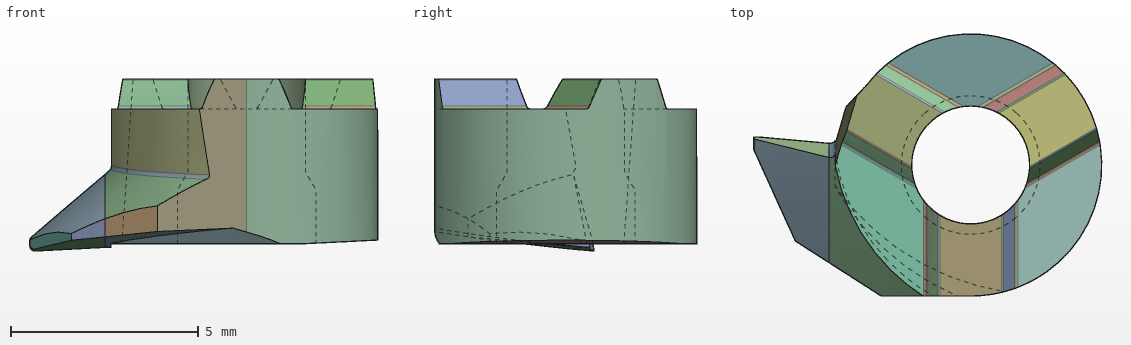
import cadquery as cq
import math


body_radius = 3.5
body_height = 4.4
drive_height = 0.8
floor_level = body_height - drive_height
blank_bottom = -0.5

bore_radius = 1.57
counterbore_radius = 1.85
seat_top = 1.92
seat_half_angle = 30.0
seat_blend = 0.15

rib_angles = (-90, 30, 150)
rib_top_half_width = 0.86
rib_foot_half_width = 1.17
rib_flank_bulge = 0.03
rib_top_blend = 0.06
rib_foot_blend_width = 0.09
rib_foot_blend_height = 0.08
rib_foot_blend_sag = 0.33

nose_x = -5.79
nose_flat_end_y = 0.41
heel = (-4.68, -2.03)
arm_corner = (-2.385, -body_radius)
rear_corner_x = -3.33
rear_corner_y = 1.55
rear_tangent_angle = math.radians(142.3)

joint_x = -3.78

gash_corner = (-3.62, 0.55)
rake_slope = -0.08
gash_wall_slope = 0.29
gash_lean = (-0.0093, -0.194, 1.0)
gash_blend = 0.2

relief_center = (1.57, 1.07, 2.0)
relief_tilt = 3.8
relief_wall_radius = 5.237
relief_wall_draft = 1.3
relief_step_level = 0.075
relief_cone_angle = 41.7
relief_blend = 0.15

tip_underside = (0.125, 0.045, -0.089)
far_clearance = (-0.077, 0.05, 0.0)

clearance_center = (1.96, 3.35)
clearance_radius = 6.81

body_underside_start_x = -3.62

nose_radius = 0.15
nose_top_radius = 0.1
nose_lower_z = -0.2
nose_upper_z = 0.1

reach = 20.0


def below_plane(level, slope_x, slope_y):
    """Everything under the plane z = level + slope_x * x + slope_y * y."""
    normal = (slope_x, slope_y, -1.0)
    plane = cq.Plane(origin=(0, 0, level), xDir=(1, 0, slope_x), normal=normal)
    return cq.Workplane(plane).rect(2 * reach, 2 * reach).extrude(reach)


def outline_prism(bottom, top):
    """The head's plan outline, pulled up from bottom to top."""
    rear_tangent = (
        body_radius * math.cos(rear_tangent_angle),
        body_radius * math.sin(rear_tangent_angle),
    )
    far_point = (body_radius, 0)
    return (
        cq.Workplane("XY", origin=(0, 0, bottom))
        .moveTo(0, -body_radius)
        .threePointArc(far_point, rear_tangent)
        .lineTo(rear_corner_x, rear_corner_y)
        .lineTo(nose_x, rear_corner_y)
        .lineTo(nose_x, nose_flat_end_y)
        .lineTo(*heel)
        .lineTo(*arm_corner)
        .close()
        .extrude(top - bottom)
    )


def drive_rib(angle):
    """One rib with bulging flanks, running from the axis out past the rim."""
    middle_half_width = (rib_top_half_width + rib_foot_half_width) / 2 + rib_flank_bulge
    middle_height = drive_height / 2
    toe = rib_foot_half_width + rib_foot_blend_width
    blend_middle = (
        rib_foot_half_width + rib_foot_blend_sag * rib_foot_blend_width,
        rib_foot_blend_sag * rib_foot_blend_height,
    )
    rib = (
        cq.Workplane("YZ")
        .moveTo(-toe, 0)
        .threePointArc((-blend_middle[0], blend_middle[1]), (-rib_foot_half_width, rib_foot_blend_height))
        .threePointArc((-middle_half_width, middle_height), (-rib_top_half_width, drive_height))
        .lineTo(rib_top_half_width, drive_height)
        .threePointArc((middle_half_width, middle_height), (rib_foot_half_width, rib_foot_blend_height))
        .threePointArc(blend_middle, (toe, 0))
        .close()
        .extrude(2 * body_radius)
        .edges("|X and >Z")
        .fillet(rib_top_blend)
    )
    return rib.translate((0, 0, floor_level)).rotate((0, 0, 0), (0, 0, 1), angle)


def gash():
    """The open notch between the cutting face and the body, with a rounded root."""
    x, y = gash_corner
    section = (
        cq.Workplane("XY")
        .polyline([
            (x, y),
            (x + gash_wall_slope * reach, y + reach),
            (x - reach, y + reach),
            (x - reach, y - rake_slope * reach),
        ])
        .close()
    )
    lean = cq.Vector(*gash_lean)
    prism = cq.Solid.extrudeLinear(section.val(), [], lean * reach)
    notch = cq.Workplane(prism.translate(lean * (-reach / 2)))
    root = cq.selectors.NearestToPointSelector((x, y, 0))
    return notch.edges(root).fillet(gash_blend)


def turned_relief():
    """Wall and cone turned around the tilted axis; all that lies outside them."""
    outer_radius = relief_wall_radius + reach
    wall_flare = (reach - relief_step_level) * math.tan(math.radians(relief_wall_draft))
    cone_drop = reach * math.tan(math.radians(relief_cone_angle))
    relief = (
        cq.Workplane("XZ")
        .polyline([
            (relief_wall_radius + wall_flare, reach),
            (relief_wall_radius, relief_step_level),
            (outer_radius, relief_step_level - cone_drop),
            (outer_radius, reach),
        ])
        .close()
        .revolve(360, (0, 0), (0, 1))
    )
    step = cq.selectors.NearestToPointSelector((relief_wall_radius, 0, relief_step_level))
    relief = relief.edges(step).fillet(relief_blend)
    return relief.rotate((0, 0, 0), (1, 0, 0), relief_tilt).translate(relief_center)


def rim_clearance():
    """Everything outside and below the clearance cone."""
    rise = body_height
    outer_radius = clearance_radius + rise
    return (
        cq.Workplane("XZ")
        .polyline([
            (clearance_radius - rise, -rise),
            (outer_radius, -rise),
            (outer_radius, rise),
        ])
        .close()
        .revolve(360, (0, 0), (0, 1))
        .translate((*clearance_center, 0))
    )


def screw_bore():
    """Through bore, conical seat and counterbore."""
    seat_drop = (counterbore_radius - bore_radius) / math.tan(math.radians(seat_half_angle))
    return (
        cq.Workplane("XZ")
        .polyline([
            (0, -reach),
            (counterbore_radius, -reach),
            (counterbore_radius, seat_top - seat_drop),
            (bore_radius, seat_top),
            (bore_radius, reach),
            (0, reach),
        ])
        .close()
        .revolve(360, (0, 0), (0, 1))
        .faces("%CONE")
        .edges()
        .fillet(seat_blend)
    )


def tip_side():
    """Everything on the tip's side of the joint."""
    return cq.Workplane("XY", origin=(joint_x - reach / 2, 0, 0)).box(reach, reach, reach)


def head_blank():
    """Body and tip in one piece, before the underside is shaped."""
    blank = outline_prism(blank_bottom, floor_level)
    for angle in rib_angles:
        blank = blank.union(drive_rib(angle))
    blank = blank.intersect(outline_prism(blank_bottom, body_height))
    return blank.cut(gash()).cut(turned_relief())


def make_body(blank):
    """The clamped body, bored and with its underside shaped."""
    flat_center = (body_underside_start_x + reach / 2, 0, 0)
    side = cq.Workplane("XY", origin=flat_center).box(reach, reach, reach)
    flat = below_plane(0, 0, 0).intersect(side)
    arm_relief = below_plane(*tip_underside).intersect(rim_clearance())
    strip = below_plane(*tip_underside).cut(side)
    body = blank.cut(tip_side()).cut(screw_bore())
    return body.cut(flat).cut(arm_relief).cut(strip).cut(below_plane(*far_clearance))


def make_tip(blank):
    """The cutting tip, with its nose rounded above and below."""
    tip = blank.intersect(tip_side()).cut(below_plane(*tip_underside))
    nose_middle_y = nose_flat_end_y + nose_radius
    lower_edge = cq.selectors.NearestToPointSelector((nose_x, nose_middle_y, nose_lower_z))
    upper_edge = cq.selectors.NearestToPointSelector((nose_x, nose_middle_y, nose_upper_z))
    tip = tip.edges(lower_edge).fillet(nose_radius)
    return tip.edges(upper_edge).fillet(nose_top_radius)


blank = head_blank()
body = make_body(blank)
tip = make_tip(blank)
result = cq.Compound.makeCompound([body.val(), tip.val()])